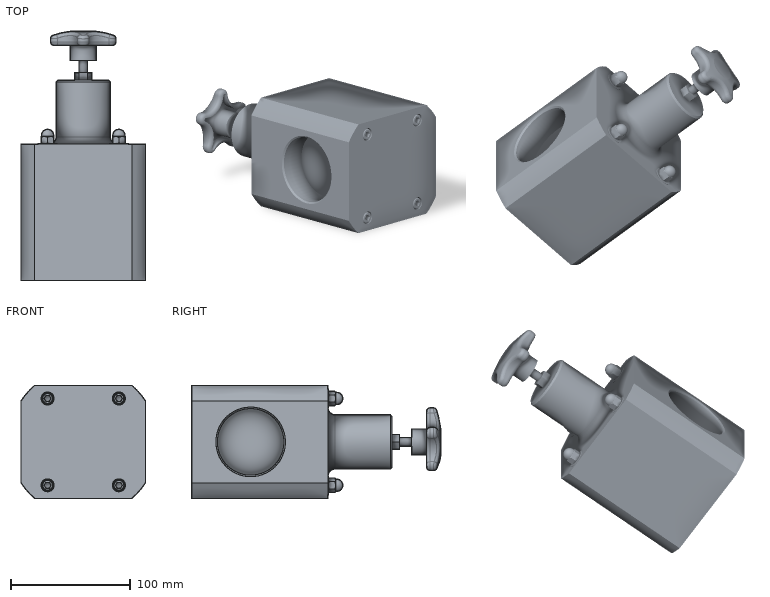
import cadquery as cq
import math


body_width = 104.8
body_height = 95.2
body_length = 114.6
body_corner_diameter = 125.3

port_diameter = 56.0
port_depth = 22.2
port_y = 49.7
port_chamfer = 1.3

bolt_half_pitch_x = 30.0
bolt_half_pitch_z = 36.5

counterbore_diameter = 11.0
counterbore_depth = 3.1
screw_head_diameter = 9.5
screw_head_chamfer = 0.6
socket_across_flats = 5.0
socket_depth = 2.5
socket_cone_depth = 1.3

washer_diameter = 16.0
washer_thickness = 0.5
nut_across_flats = 10.7
nut_height = 5.9
nut_chamfer = 0.6
nut_neck_height = 1.0
nut_dome_diameter = 10.5

bonnet_diameter = 45.7
bonnet_end_y = 168.5
bonnet_chamfer = 1.5
bonnet_fillet = 6.0

spindle_diameter = 7.5
lock_nut_across_flats = 12.5
lock_nut_height = 6.3

hub_diameter = 22.0
hub_start_y = 184.9
wheel_start_y = 197.5
wheel_crown_y = 209.5
lobe_count = 5
lobe_radius = 5.0
lobe_circle_radius = 23.7
flank_radius = 13.8
crown_flat_diameter = 21.0
crown_radius = 86.0
wheel_bottom_fillet = 3.1
wheel_top_fillet = 3.0
wheel_cavity_inset = 3.4
wheel_cavity_depth = 6.7
hub_flare_radius = 4.2


def cylinder(diameter, start_y, end_y):
    """Cylinder on the valve axis."""
    return cq.Workplane("XZ", origin=(0, start_y, 0)).circle(diameter / 2).extrude(start_y - end_y)


def hexagon(across_flats, start_y, end_y):
    """Hexagonal prism on the valve axis with two corners on the X axis."""
    across_corners = across_flats / math.cos(math.pi / 6)
    return cq.Workplane("XZ", origin=(0, start_y, 0)).polygon(6, across_corners).extrude(start_y - end_y)


def at_bolts(shape):
    """Copies of a shape at the four bolt positions."""
    copies = cq.Workplane()
    for x in (-bolt_half_pitch_x, bolt_half_pitch_x):
        for z in (-bolt_half_pitch_z, bolt_half_pitch_z):
            copies = copies.add(shape.translate((x, 0, z)))
    return copies.combine()


def make_body():
    """Block whose corners are rounded by one large cylinder, with a port on each side."""
    block = cq.Workplane("XY").box(body_width, body_length, body_height).translate((0, body_length / 2, 0))
    body = block.intersect(cylinder(body_corner_diameter, 0, body_length))
    port = (
        cq.Workplane("YZ", origin=(-body_width / 2, port_y, 0))
        .circle(port_diameter / 2)
        .extrude(port_depth)
    )
    mouth = (
        cq.Workplane("YZ", origin=(-body_width / 2, port_y, 0))
        .circle(port_diameter / 2 + port_chamfer)
        .extrude(port_chamfer, taper=45)
    )
    port = port.union(mouth)
    return body.cut(port).cut(port.mirror("YZ"))


def make_screw_recess():
    """Ring-shaped gap around a flush screw head, plus its hexagonal socket with a conical bottom."""
    gap = cylinder(counterbore_diameter, 0, counterbore_depth)
    head = cylinder(screw_head_diameter, 0, counterbore_depth).faces("<Y").edges().chamfer(screw_head_chamfer)
    cone = cq.Solid.makeCone(
        socket_across_flats / 2, 0, socket_cone_depth, cq.Vector(0, socket_depth, 0), cq.Vector(0, 1, 0)
    )
    return gap.cut(head).union(hexagon(socket_across_flats, 0, socket_depth)).union(cq.Workplane(cone))


def make_cap_nut():
    """Washer, chamfered hexagon with corners along Z, and domed cap."""
    nut_start = body_length + washer_thickness
    nut_end = nut_start + nut_height
    dome_y = nut_end + nut_neck_height
    corner_diameter = nut_across_flats / math.cos(math.pi / 6)
    rounded = cylinder(corner_diameter, nut_start, nut_end).edges().chamfer(nut_chamfer)
    nut = hexagon(nut_across_flats, nut_start, nut_end).rotate((0, 0, 0), (0, 1, 0), 90).intersect(rounded)
    dome = cq.Workplane("XY").sphere(nut_dome_diameter / 2).translate((0, dome_y, 0))
    return (
        nut.union(cylinder(washer_diameter, body_length, nut_start))
        .union(cylinder(nut_dome_diameter, nut_start, dome_y))
        .union(dome)
    )


def flared_post(diameter, base_y, fillet, direction):
    """Cylinder standing on a base plane, growing wider into it by a concave quarter-round."""
    radius = diameter / 2
    sag = fillet * (1 - math.cos(math.pi / 4))
    top_y = base_y + direction * fillet
    return (
        cq.Workplane("XY")
        .moveTo(0, base_y)
        .lineTo(radius + fillet, base_y)
        .threePointArc((radius + sag, base_y + direction * sag), (radius, top_y))
        .lineTo(0, top_y)
        .close()
        .revolve(360, (0, 0, 0), (0, 1, 0))
    )


def make_bonnet():
    """Turned bonnet, chamfered at its end and flared into the body."""
    barrel = cylinder(bonnet_diameter, body_length, bonnet_end_y).faces(">Y").edges().chamfer(bonnet_chamfer)
    return barrel.union(flared_post(bonnet_diameter, body_length, bonnet_fillet, 1))


def polar(radius, angle):
    """Point at an angle measured from Z towards X."""
    return radius * math.sin(angle), radius * math.cos(angle)


def make_star(inset, end_y):
    """Star prism from the wheel's underside: round lobe tips joined by tangent concave arcs."""
    half_step = math.pi / lobe_count
    tip_round = lobe_radius - inset
    valley_round = flank_radius + inset
    center_gap = lobe_radius + flank_radius
    half_chord = lobe_circle_radius * math.sin(half_step)
    valley_center_radius = lobe_circle_radius * math.cos(half_step) + math.sqrt(center_gap**2 - half_chord**2)
    valley_radius = valley_center_radius - valley_round
    join_share = tip_round / center_gap
    along = lobe_circle_radius + join_share * (
        valley_center_radius * math.cos(half_step) - lobe_circle_radius
    )
    across = join_share * valley_center_radius * math.sin(half_step)
    join_radius = math.hypot(along, across)
    join_angle = math.atan2(across, along)
    star = cq.Workplane("XZ", origin=(0, wheel_start_y, 0)).moveTo(*polar(join_radius, -join_angle))
    for lobe in range(lobe_count):
        angle = 2 * half_step * lobe
        next_join = angle + 2 * half_step - join_angle
        tip = polar(lobe_circle_radius + tip_round, angle)
        valley = polar(valley_radius, angle + half_step)
        star = star.threePointArc(tip, polar(join_radius, angle + join_angle))
        star = star.threePointArc(valley, polar(join_radius, next_join))
    return star.close().extrude(wheel_start_y - end_y)


def make_handwheel():
    """Star handwheel with a domed crown, rounded rims, a hollow underside and a flared hub."""
    flat_radius = crown_flat_diameter / 2
    dome_center_y = wheel_crown_y - math.sqrt(crown_radius**2 - flat_radius**2)
    dome = cq.Workplane("XY").sphere(crown_radius).translate((0, dome_center_y, 0))
    wheel = make_star(0, wheel_crown_y).intersect(dome)
    wheel = wheel.faces("<Y").edges().fillet(wheel_bottom_fillet)
    wheel = wheel.faces("%SPHERE").edges("not %CIRCLE").fillet(wheel_top_fillet)
    floor_y = wheel_start_y + wheel_cavity_depth
    return (
        wheel.cut(make_star(wheel_cavity_inset, floor_y))
        .union(cylinder(hub_diameter, hub_start_y, floor_y))
        .union(flared_post(hub_diameter, floor_y, hub_flare_radius, -1))
    )


lock_nut = hexagon(lock_nut_across_flats, bonnet_end_y, bonnet_end_y + lock_nut_height)
spindle = cylinder(spindle_diameter, bonnet_end_y, hub_start_y)

result = (
    make_body()
    .cut(at_bolts(make_screw_recess()))
    .union(at_bolts(make_cap_nut()))
    .union(make_bonnet())
    .union(lock_nut)
    .union(spindle)
    .union(make_handwheel())
)